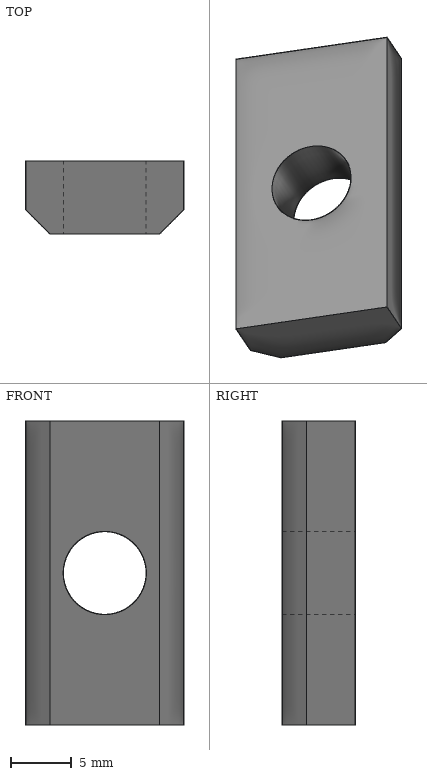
import cadquery as cq

width = 13.0
thickness = 6.0
length = 25.0

chamfer = 2.0
hole_diameter = 6.8

block = cq.Workplane("XY").box(width, thickness, length)
block = block.faces("<Y").edges("|Z").chamfer(chamfer)

result = block.faces("<Y").workplane(centerOption="CenterOfBoundBox").hole(hole_diameter)